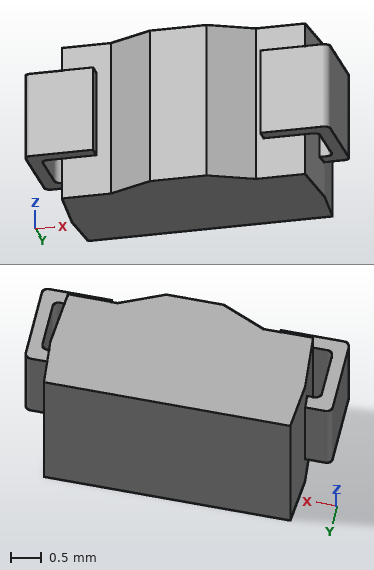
import cadquery as cq

overall_length = 5.11
body_width = 2.67

body_top = 2.25
body_base = 0.455
body_bottom = 0.12
parting_height = 1.44
parting_length = 4.24
top_length = 4.10
base_length = 4.08
bump_base_length = 2.43
bump_tip_length = 0.95

lead_width = 1.46
lead_thickness = 0.23
lead_height = 1.42
foot_length = 1.15
bend_radius = 0.10
body_overlap = 0.3


def make_body():
    """Tapered body with a trapezoidal bump on the foot side."""
    right_side = [
        (bump_tip_length / 2, body_bottom),
        (bump_base_length / 2, body_base),
        (base_length / 2, body_base),
        (parting_length / 2, parting_height),
        (top_length / 2, body_top),
    ]
    left_side = [(-x, y) for x, y in reversed(right_side)]
    profile = cq.Workplane("XY").polyline(right_side + left_side).close()
    return profile.extrude(body_width / 2, both=True)


def make_left_lead():
    """Bent strip: upper arm into the body, vertical wall and inward foot."""
    outer_x = -overall_length / 2
    inner_x = outer_x + lead_thickness
    arm_end_x = -parting_length / 2 + body_overlap
    foot_end_x = outer_x + foot_length
    arm_underside = lead_height - lead_thickness
    outline = [
        (outer_x, 0),
        (foot_end_x, 0),
        (foot_end_x, lead_thickness),
        (inner_x, lead_thickness),
        (inner_x, arm_underside),
        (arm_end_x, arm_underside),
        (arm_end_x, lead_height),
        (outer_x, lead_height),
    ]
    strip = cq.Workplane("XY").polyline(outline).close().extrude(lead_width / 2, both=True)
    outer_wall = cq.selectors.NearestToPointSelector((outer_x, lead_height / 2, 0))
    inner_wall = cq.selectors.NearestToPointSelector((inner_x, lead_height / 2, 0))
    strip = strip.faces(outer_wall).edges("|Z").fillet(bend_radius)
    return strip.faces(inner_wall).edges("|Z").fillet(bend_radius)


left_lead = make_left_lead()
right_lead = left_lead.mirror("YZ")
result = make_body().union(left_lead).union(right_lead)